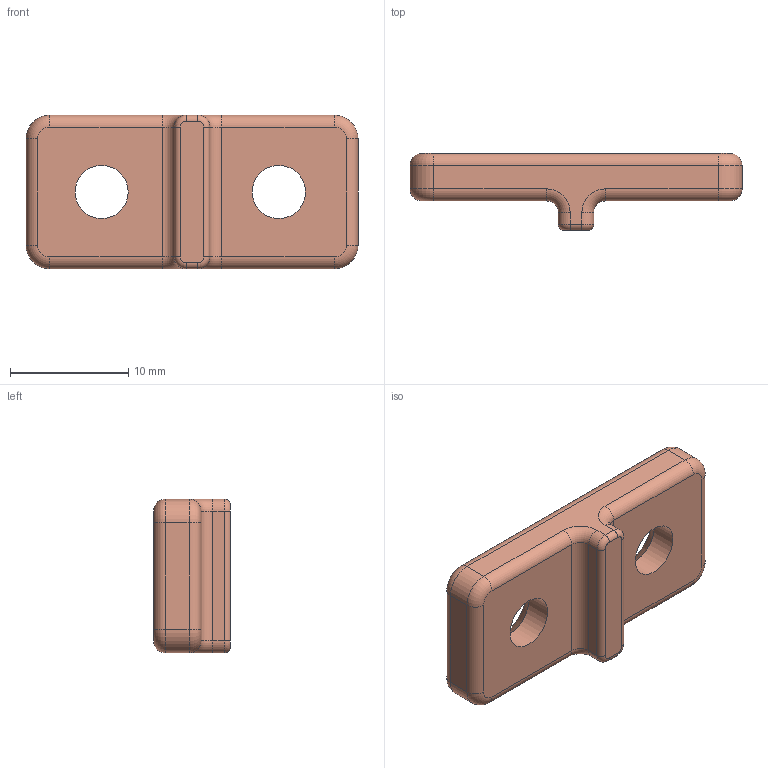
import cadquery as cq
import math

plate_length = 28.1
plate_height = 13.0
plate_thickness = 4.0
corner_radius = 2.0

rib_width = 3.0
rib_projection = 2.5
rib_root_radius = 1.0

edge_radius = 1.0
rib_tip_radius = 0.5

hole_diameter = 4.5
countersink_diameter = 8.0
countersink_angle = 90.0
hole_spacing = 15.0
hole_pair_offset = -0.15

plate_front = -plate_thickness
rib_tip = plate_front - rib_projection

tolerance = 0.01


def make_body():
    """Plate and rib as one T-shaped block, with rounded plate corners and rib roots."""
    plate = (
        cq.Workplane("XY")
        .box(plate_length, plate_thickness, plate_height)
        .translate((0, -plate_thickness / 2, 0))
        .edges("|Y")
        .fillet(corner_radius)
    )
    rib = (
        cq.Workplane("XY")
        .box(rib_width, plate_thickness / 2 + rib_projection, plate_height)
        .translate((0, (rib_tip - plate_thickness / 2) / 2, 0))
    )
    root_edges = cq.selectors.BoxSelector(
        (-rib_width, plate_front - tolerance, -plate_height),
        (rib_width, plate_front + tolerance, plate_height),
    )
    return plate.union(rib).edges("|Z").edges(root_edges).fillet(rib_root_radius)


def round_edges(body):
    """Round the back rim, the plate's front edges with the rib ends, then the rib tip.

    The front edges run tangentially through the rib roots, so rounding starts from the
    straight rib end edges and follows the whole chain.
    """
    rib_side_zone = cq.selectors.BoxSelector(
        (-rib_width, rib_tip - tolerance, -plate_height),
        (rib_width, plate_front - rib_root_radius, plate_height),
    )
    body = body.faces(">Y").edges().fillet(edge_radius)
    body = body.edges("|Y").edges(rib_side_zone).fillet(edge_radius)
    return body.faces("<Y").edges().fillet(rib_tip_radius)


def cut_holes(body):
    """Drill the two holes through the plate, each countersunk from the plate back."""
    hole_radius = hole_diameter / 2
    countersink_radius = countersink_diameter / 2
    half_angle = math.radians(countersink_angle / 2)
    countersink_depth = (countersink_radius - hole_radius) / math.tan(half_angle)
    for side in (-1, 1):
        hole_x = hole_pair_offset + side * hole_spacing / 2
        centre = cq.Vector(hole_x, 0, 0)
        into_plate = cq.Vector(0, -1, 0)
        hole = cq.Solid.makeCylinder(hole_radius, plate_thickness, centre, into_plate)
        countersink = cq.Solid.makeCone(
            countersink_radius, hole_radius, countersink_depth, centre, into_plate
        )
        body = body.cut(hole).cut(countersink)
    return body


result = cut_holes(round_edges(make_body()))